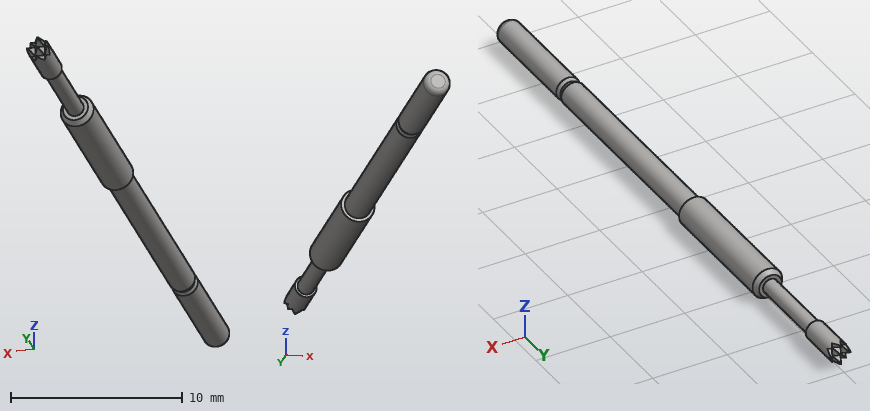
import cadquery as cq


TOTAL_LENGTH = 39.3
HEAD_LENGTH = 3.0
STEM_LENGTH = 5.3
COLLAR_LENGTH = 9.0
TUBE_LENGTH = TOTAL_LENGTH - HEAD_LENGTH - STEM_LENGTH - COLLAR_LENGTH

HEAD_DIAMETER = 1.31
STEM_DIAMETER = 1.0
COLLAR_DIAMETER = 2.0
TUBE_DIAMETER = 1.58

COLLAR_CHAMFER_LENGTH = 0.35
COLLAR_CHAMFER_HEIGHT = 0.24
TUBE_END_FILLET = 0.36

CRIMP_LENGTH = 0.6
CRIMP_DEPTH = 0.1
CRIMP_FROM_SHOULDER = 14.5

CROWN_GROOVE_COUNT = 4
CROWN_GROOVE_OFFSET = 0.29
CROWN_GROOVE_WIDTH = 0.55
CROWN_DEPTH = 0.57

CLEARANCE = 0.1


def cylinder(diameter, start_y, length):
    """Cylinder on the Y axis, running from start_y toward +Y."""
    base = cq.Plane(origin=(0, start_y, 0), xDir=(1, 0, 0), normal=(0, 1, 0))
    return cq.Workplane(base).circle(diameter / 2).extrude(length)


def make_tube():
    """Rear tube with a rounded end and a crimp groove."""
    tube = cylinder(TUBE_DIAMETER, -TUBE_LENGTH, TUBE_LENGTH)
    tube = tube.faces("<Y").edges().fillet(TUBE_END_FILLET)
    outer_radius = TUBE_DIAMETER / 2
    half_length = CRIMP_LENGTH / 2
    groove = (
        cq.Workplane("XY")
        .moveTo(outer_radius - CRIMP_DEPTH, -CRIMP_FROM_SHOULDER)
        .lineTo(outer_radius, -CRIMP_FROM_SHOULDER + half_length)
        .lineTo(outer_radius + CLEARANCE, -CRIMP_FROM_SHOULDER + half_length)
        .lineTo(outer_radius + CLEARANCE, -CRIMP_FROM_SHOULDER - half_length)
        .lineTo(outer_radius, -CRIMP_FROM_SHOULDER - half_length)
        .close()
        .revolve(360, (0, 0), (0, 1))
    )
    return tube.cut(groove)


def make_collar():
    """Press-fit collar with a chamfered front edge."""
    radius = COLLAR_DIAMETER / 2
    return (
        cq.Workplane("XY")
        .lineTo(radius, 0)
        .lineTo(radius, COLLAR_LENGTH - COLLAR_CHAMFER_LENGTH)
        .lineTo(radius - COLLAR_CHAMFER_HEIGHT, COLLAR_LENGTH)
        .lineTo(0, COLLAR_LENGTH)
        .close()
        .revolve(360, (0, 0), (0, 1))
    )


def make_plunger():
    """Slim stem carrying a larger head with a toothed crown."""
    head_start = COLLAR_LENGTH + STEM_LENGTH
    tip_y = head_start + HEAD_LENGTH
    stem = cylinder(STEM_DIAMETER, COLLAR_LENGTH, STEM_LENGTH)
    head = cylinder(HEAD_DIAMETER, head_start, HEAD_LENGTH)

    half_width = CROWN_GROOVE_WIDTH / 2
    cutter_length = HEAD_DIAMETER + 2 * CLEARANCE
    cutter = (
        cq.Workplane("XY")
        .moveTo(CROWN_GROOVE_OFFSET, tip_y - CROWN_DEPTH)
        .lineTo(CROWN_GROOVE_OFFSET + half_width, tip_y)
        .lineTo(CROWN_GROOVE_OFFSET - half_width, tip_y)
        .close()
        .extrude(cutter_length / 2, both=True)
    )
    for index in range(CROWN_GROOVE_COUNT):
        angle = index * 360 / CROWN_GROOVE_COUNT
        head = head.cut(cutter.rotate((0, 0, 0), (0, 1, 0), angle))
    return stem.union(head)


result = make_tube().union(make_collar()).union(make_plunger())